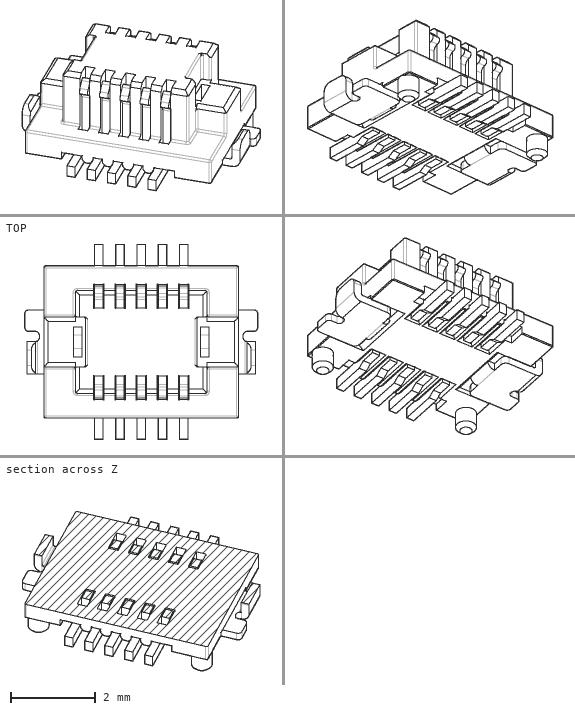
import cadquery as cq

BASE_X = 4.6
BASE_Y = 3.595
BASE_TOP = 0.64
EDGE_RADIUS = 0.05
BOTTOM_CHAMFER = 0.02
LEVEL_TOLERANCE = 0.005

TOWER_X = 3.115
TOWER_Y = 2.42
TOWER_TOP = 2.045
TOWER_CHAMFER = 0.105

SHOULDER_Y = 1.175
SHOULDER_TOP = 1.33
SHOULDER_CHAMFER_DROP = 0.09
SHOULDER_CHAMFER_RUN = 0.105
RECESS_WALL_X = 1.315

CONTACTS_PER_ROW = 5
PITCH = 0.5
CONTACT_WIDTH = 0.205
SLOT_WIDTH = 0.235
SLOT_INNER_Y = 0.8
SLOT_OUTER_Y = 1.36
SLOT_FLARE = 0.095
TAIL_TIP_Y = 2.3
TAIL_TOP = 0.175
TAIL_BOTTOM = -0.11
TAIL_SLOPE_Y = 1.175
ARM_INNER_Y = 1.0
ARM_OUTER_Y = 1.13
ARM_TOP = 1.885
ARM_TIP_Y = 1.06
ARM_TIP_RADIUS = ARM_TIP_Y - ARM_INNER_Y
RAMP_TOP_Z = 1.855
RAMP_TOP_Y = 1.14
RAMP_END_Y = 1.275
RAMP_END_Z = 1.715
BUMP_BOTTOM = 1.4
BUMP_INFLECTION_Y = 1.245
BUMP_INFLECTION_Z = 1.545
NOTCH_TOP = 0.19
NOTCH_X = 2.795

CLIP_THICKNESS = 0.205
CLIP_BOTTOM = -0.09
CLIP_Y = 1.52
CLIP_INNER_X = 1.595
CLIP_INNER_RADIUS = 0.145
EAR_TIP_X = 2.75
EAR_EDGE_Y = 0.25
EAR_RADIUS = 0.1
GAP_EDGE_Y = 0.01
GAP_END_X = 2.405
GAP_RADIUS = 0.1
TAB_OUTER_X = 2.695
TAB_TOP = 0.59
TAB_RADIUS = 0.2
TAB_CHAMFER = 0.1
BEND_RADIUS = 0.2
BEND_INNER_RADIUS = 0.045
TONGUE_X = 1.395
TONGUE_Y = 0.715
TONGUE_TOP = 0.77
CLIP_POCKET_Y = 1.725
CLIP_POCKET_INNER_X = 1.32

PEG_DIAMETER = 0.5
PEG_X = 2.045
PEG_Y = 1.495
PEG_BOTTOM = -0.51
PEG_CHAMFER = 0.105

CLIP_TOP = CLIP_BOTTOM + CLIP_THICKNESS


def box(x_range, y_range, z_range):
    """Box between pairs of limits along X, Y and Z."""
    (x0, x1), (y0, y1), (z0, z1) = x_range, y_range, z_range
    return cq.Workplane("XY").box(x1 - x0, y1 - y0, z1 - z0, centered=False).translate((x0, y0, z0))


def centered(size):
    """Limits of a length centred on the origin."""
    return (-size / 2, size / 2)


def both_ends(shape):
    """A shape at the -X end together with its mirror image at the +X end."""
    return shape.union(shape.mirror("YZ"))


def level_selector(z):
    """Selects the edges that lie at height z."""
    low_corner = (-BASE_X, -BASE_Y, z - LEVEL_TOLERANCE)
    high_corner = (BASE_X, BASE_Y, z + LEVEL_TOLERANCE)
    return cq.selectors.BoxSelector(low_corner, high_corner)


def make_housing():
    """Base, tower and shoulders with their recesses and rounded edges."""
    base = box(centered(BASE_X), centered(BASE_Y), (0, BASE_TOP))
    base = base.faces("<Z").edges().chamfer(BOTTOM_CHAMFER)
    shoulders = box(centered(BASE_X), centered(SHOULDER_Y), (BASE_TOP / 2, SHOULDER_TOP))
    shoulders = shoulders.faces(">Z").edges().chamfer(SHOULDER_CHAMFER_DROP, SHOULDER_CHAMFER_RUN)
    tower = box(centered(TOWER_X), centered(TOWER_Y), (BASE_TOP / 2, TOWER_TOP))
    tower = tower.faces(">Z").edges().chamfer(TOWER_CHAMFER)
    recess = box((-BASE_X / 2, -RECESS_WALL_X), centered(SHOULDER_Y), (SHOULDER_TOP, TOWER_TOP))
    housing = base.union(shoulders).union(tower).cut(both_ends(recess))

    upright = housing.edges("|Z").vals()
    base_rim = housing.edges(level_selector(BASE_TOP)).vals()
    housing = housing.newObject(upright + base_rim).fillet(EDGE_RADIUS)
    return housing.cut(both_ends(make_recess_rim()))


def make_recess_rim():
    """Cutter that rounds the top of the -X recess wall, mitred at both corners."""
    rim_x = RECESS_WALL_X - EDGE_RADIUS
    profile = (
        cq.Workplane("XZ")
        .moveTo(-RECESS_WALL_X, TOWER_TOP - EDGE_RADIUS)
        .radiusArc((-rim_x, TOWER_TOP), EDGE_RADIUS)
        .lineTo(-RECESS_WALL_X - EDGE_RADIUS, TOWER_TOP)
        .lineTo(-RECESS_WALL_X - EDGE_RADIUS, TOWER_TOP - EDGE_RADIUS)
        .close()
        .extrude(SHOULDER_Y / 2, both=True)
    )
    mitre = box((-TOWER_X / 2, -rim_x), centered(SHOULDER_Y), (SHOULDER_TOP, TOWER_TOP))
    return profile.intersect(mitre.edges("|Z and >X").chamfer(EDGE_RADIUS))


def make_contact_slot():
    """Slot of one contact on the -Y side, with a flared channel under the base for its tail."""
    slot = box(centered(SLOT_WIDTH), (-SLOT_OUTER_Y, -SLOT_INNER_Y), (0, TOWER_TOP))
    channel = box(centered(SLOT_WIDTH), (-BASE_Y / 2, -SLOT_INNER_Y), (0, NOTCH_TOP))
    flare_length = BASE_Y / 2 - SLOT_INNER_Y + 2 * SLOT_FLARE
    flare = (
        cq.Workplane("XY")
        .center(0, -SLOT_INNER_Y + SLOT_FLARE - flare_length / 2)
        .rect(SLOT_WIDTH + 2 * SLOT_FLARE, flare_length)
        .extrude(SLOT_FLARE, taper=45)
    )
    return slot.union(channel).union(flare)


def make_contact():
    """One contact on the -Y side: tail, arm tapering upward and rounded contact bump."""
    outline = (
        cq.Workplane("YZ")
        .moveTo(-SLOT_INNER_Y, 0)
        .lineTo(-TAIL_SLOPE_Y, 0)
        .lineTo(-SLOT_OUTER_Y, TAIL_BOTTOM)
        .lineTo(-TAIL_TIP_Y, TAIL_BOTTOM)
        .lineTo(-TAIL_TIP_Y, TAIL_TOP)
        .lineTo(-ARM_OUTER_Y, TAIL_TOP)
        .lineTo(-ARM_OUTER_Y, BUMP_BOTTOM)
        .tangentArcPoint((-BUMP_INFLECTION_Y, BUMP_INFLECTION_Z), relative=False)
        .tangentArcPoint((-RAMP_END_Y, RAMP_END_Z), relative=False)
        .lineTo(-RAMP_TOP_Y, RAMP_TOP_Z)
        .tangentArcPoint((-ARM_TIP_Y, ARM_TOP), relative=False)
        .radiusArc((-ARM_INNER_Y, ARM_TOP - ARM_TIP_RADIUS), ARM_TIP_RADIUS)
        .lineTo(-SLOT_INNER_Y, TAIL_TOP)
        .close()
    )
    return outline.extrude(CONTACT_WIDTH / 2, both=True)


def both_rows(shape):
    """Repeat a -Y contact shape along its row and in the mirrored +Y row."""
    row_start = -PITCH * (CONTACTS_PER_ROW - 1) / 2
    row = shape.translate((row_start, 0, 0))
    for index in range(1, CONTACTS_PER_ROW):
        row = row.union(shape.translate((row_start + index * PITCH, 0, 0)))
    return row.union(row.mirror("XZ"))


def make_end_notches():
    """Openings under the base beside the outermost tails of both rows."""
    row_end_x = PITCH * (CONTACTS_PER_ROW - 1) / 2
    notch = box((-NOTCH_X / 2, -row_end_x), (-BASE_Y / 2, -SLOT_OUTER_Y), (0, NOTCH_TOP))
    return both_ends(notch.union(notch.mirror("XZ")))


def make_clip_pocket():
    """Shallow pocket for the -X clip plate, with a sloped inner end."""
    return (
        cq.Workplane("XZ")
        .polyline([
            (-BASE_X / 2, 0),
            (-CLIP_POCKET_INNER_X, 0),
            (-CLIP_POCKET_INNER_X - CLIP_TOP, CLIP_TOP),
            (-BASE_X / 2, CLIP_TOP),
        ])
        .close()
        .extrude(CLIP_POCKET_Y / 2, both=True)
    )


def make_tongue_slot():
    """Slot for the clip tongue, from the shoulder top down to the clip pocket."""
    x_range = (-TONGUE_X - CLIP_THICKNESS, -TONGUE_X)
    return box(x_range, centered(TONGUE_Y), (CLIP_TOP, SHOULDER_TOP))


def make_clip_plate():
    """Flat part of the -X clip with its soldering ear and the gap beside the ear."""
    z_range = (CLIP_BOTTOM, CLIP_TOP)
    plate = box((-EAR_TIP_X, -CLIP_INNER_X), centered(CLIP_Y), z_range)
    plate = plate.edges("|Z and >X").fillet(CLIP_INNER_RADIUS)
    gap = box((-EAR_TIP_X, -GAP_END_X), (GAP_EDGE_Y, EAR_EDGE_Y), z_range)
    gap = gap.edges("|Z and >X").fillet(GAP_RADIUS)
    tab_side = box((-EAR_TIP_X, -GAP_END_X - GAP_RADIUS), (-CLIP_Y / 2, GAP_EDGE_Y), z_range)
    plate = plate.cut(gap).cut(tab_side)
    return plate.edges("|Z and <X").fillet(EAR_RADIUS)


def make_clip_tab():
    """Outer tab of the -X clip, bent upright and chamfered along its inner top edge."""
    inner_x = TAB_OUTER_X - CLIP_THICKNESS
    y_range = (-CLIP_Y / 2, GAP_EDGE_Y)
    upright = box((-TAB_OUTER_X, -inner_x), y_range, (CLIP_BOTTOM, TAB_TOP))
    rounded = upright.edges("|X and >Z").fillet(TAB_RADIUS)
    upright = upright.edges("|Y and >X and >Z").chamfer(TAB_CHAMFER).intersect(rounded)
    root = box((-inner_x - CLIP_THICKNESS / 2, -GAP_END_X), y_range, (CLIP_BOTTOM, CLIP_TOP))
    tab = upright.union(root)
    bend_inside = cq.selectors.NearestToPointSelector((-inner_x, (y_range[0] + y_range[1]) / 2, CLIP_TOP))
    tab = tab.edges("|Y").edges(bend_inside).fillet(BEND_INNER_RADIUS)
    return tab.edges("|Y and <X and <Z").fillet(BEND_RADIUS)


def make_clip_tongue():
    """Inner tongue of the -X clip, bent up into the slot of the shoulder."""
    outer_x = TONGUE_X + CLIP_THICKNESS
    upright = box((-outer_x, -TONGUE_X), centered(TONGUE_Y), (CLIP_BOTTOM, TONGUE_TOP))
    upright = upright.edges("|X and >Z").fillet(TAB_RADIUS)
    return upright.edges("|Y and >X and <Z").fillet(BEND_RADIUS)


def make_peg():
    """Locating peg below the -X end, with a chamfered tip."""
    peg = (
        cq.Workplane("XY", origin=(-PEG_X, PEG_Y, PEG_BOTTOM))
        .circle(PEG_DIAMETER / 2)
        .extrude(BOTTOM_CHAMFER - PEG_BOTTOM)
    )
    return peg.faces("<Z").edges().chamfer(PEG_CHAMFER)


housing = make_housing()
housing = housing.cut(both_rows(make_contact_slot())).cut(make_end_notches())
housing = housing.cut(both_ends(make_clip_pocket().union(make_tongue_slot())))

clip = make_clip_plate().union(make_clip_tab()).union(make_clip_tongue())
result = housing.union(both_rows(make_contact())).union(both_ends(clip.union(make_peg())))